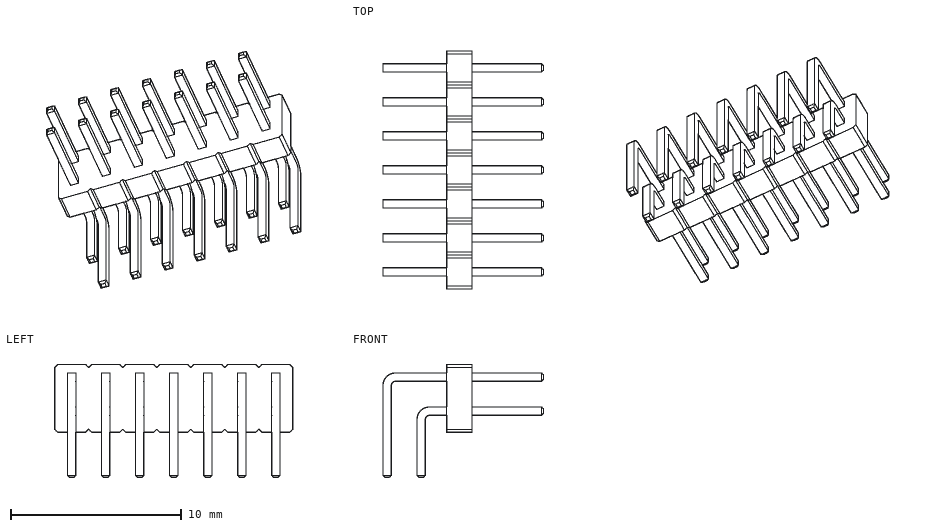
import cadquery as cq

columns = 7
rows = 2
body_length = 14.0
pitch = body_length / columns
body_height = rows * pitch
body_depth = 1.5
body_back = 3.75
notch = 0.18

total_depth = 9.45
total_height = 6.65
pin_width = pitch / 4
pin_drop = pin_width
bend_inner_radius = pin_width / 2
bend_outer_radius = bend_inner_radius + pin_width
tip_chamfer = 0.13

body_bottom = total_height - body_height


def column_y(column):
    """Centre of a column, with the header centred on Y = 0."""
    return (column - (columns - 1) / 2) * pitch


def make_body_segment(y_center):
    """One column's share of the body; its chamfers form V-notches with its neighbours."""
    return (
        cq.Workplane("XY")
        .box(body_depth, pitch, body_height, centered=(False, True, False))
        .edges("|X")
        .chamfer(notch)
        .translate((body_back, y_center, body_bottom))
    )


def make_pin(row, y_center):
    """Bent square pin with chamfered tips; row 0 is the upper, outer row."""
    rear = row * pitch
    top = total_height - pin_drop - row * pitch
    pin = (
        cq.Workplane("XZ")
        .moveTo(rear, 0)
        .lineTo(rear, top)
        .lineTo(total_depth, top)
        .lineTo(total_depth, top - pin_width)
        .lineTo(rear + pin_width, top - pin_width)
        .lineTo(rear + pin_width, 0)
        .close()
        .extrude(pin_width / 2, both=True)
    )
    outer_corner = cq.selectors.NearestToPointSelector((rear, 0, top))
    inner_corner = cq.selectors.NearestToPointSelector((rear + pin_width, 0, top - pin_width))
    pin = pin.edges("|Y").edges(outer_corner).fillet(bend_outer_radius)
    pin = pin.edges("|Y").edges(inner_corner).fillet(bend_inner_radius)
    pin = pin.faces(">X").chamfer(tip_chamfer)
    pin = pin.faces("<Z").chamfer(tip_chamfer)
    return pin.translate((0, y_center, 0))


result = make_body_segment(column_y(0))
for column in range(1, columns):
    result = result.union(make_body_segment(column_y(column)))

for column in range(columns):
    for row in range(rows):
        result = result.union(make_pin(row, column_y(column)))

result = result.clean()